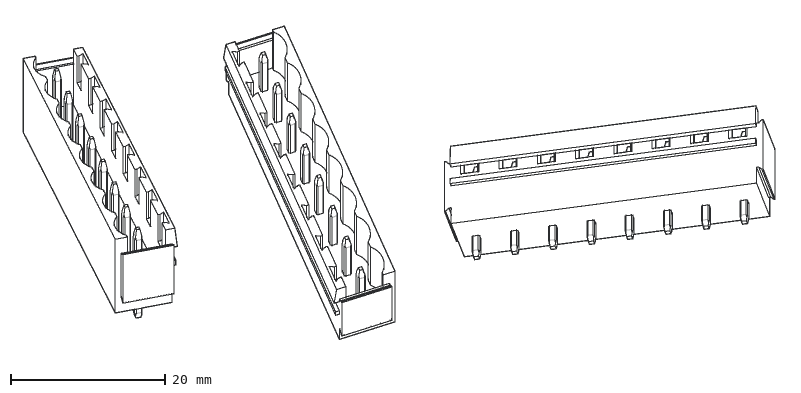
import cadquery as cq

poles = 8
pitch = 5.1
overall_length = 42.4
housing_length = 40.6
housing_depth = 7.7
housing_height = 12.0

front_wall = 1.65
back_wall = 0.9
floor_thickness = 2.95
cavity_depth = housing_depth - front_wall - back_wall
back_wall_inner = housing_depth - back_wall

scallop_width = 4.25
scallop_rise = 0.9

lip_bottom = 8.95
lip_top_reach = 0.4
lip_bottom_reach = 0.7
rib_bottom = 5.98
rib_top = 6.8
rib_reach = 0.5

slot_bottom = 7.67
slot_mouth_width = 1.8
slot_back_width = 2.4
slot_neck = 0.3

end_wall_front = 0.75
end_wall_bottom = 2.08
end_wall_top = 9.95
end_wall_thickness = (overall_length - housing_length) / 2
dovetail_inset = 0.42
dovetail_rim = 0.15
dovetail_land = 0.3

pin_width = 1.0
pin_corner_chamfer = 0.15
pin_y = 3.8
pin_bottom = -3.2
pin_top = 11.1
pin_tail_taper = 0.9
pin_tail_tip_width = 0.68
pin_head_taper = 1.53
pin_head_tip_width = 0.45

pole_positions = [(i - (poles - 1) / 2) * pitch for i in range(poles)]


def box(length, depth, height, y_front, z_bottom):
    """Box centred on X = 0 with its front face and bottom at the given Y and Z."""
    return cq.Workplane("XY").box(length, depth, height, centered=(True, False, False)).translate(
        (0, y_front, z_bottom)
    )


def make_lip():
    """Lip along the top of the back wall, its outer face leaning outwards towards the bottom."""
    profile = [
        (back_wall_inner, lip_bottom),
        (housing_depth + lip_bottom_reach, lip_bottom),
        (housing_depth + lip_top_reach, housing_height),
        (back_wall_inner, housing_height),
    ]
    return cq.Workplane("YZ").polyline(profile).close().extrude(housing_length / 2, both=True)


def make_coding_slot(x):
    """Slot open to the cavity and the top; it flares from a narrow mouth to the outer back face."""
    mouth = slot_mouth_width / 2
    back = slot_back_width / 2
    neck_end = back_wall_inner + slot_neck
    outline = [
        (x - mouth, back_wall_inner),
        (x + mouth, back_wall_inner),
        (x + mouth, neck_end),
        (x + back, housing_depth),
        (x - back, housing_depth),
        (x - mouth, neck_end),
    ]
    return (
        cq.Workplane("XY", origin=(0, 0, slot_bottom))
        .polyline(outline)
        .close()
        .extrude(housing_height - slot_bottom)
    )


def make_scallop(x):
    """Shallow round hollow in the inner face of the front wall."""
    half = scallop_width / 2
    return (
        cq.Workplane("XY", origin=(0, 0, floor_thickness))
        .moveTo(x - half, front_wall)
        .threePointArc((x, front_wall - scallop_rise), (x + half, front_wall))
        .close()
        .extrude(housing_height - floor_thickness)
    )


def make_end_wall(side):
    """Wall closing one end of the cavity; its outer rim stands proud at the top and bottom."""
    inner = side * housing_length / 2
    land = inner + side * dovetail_land
    rim = inner + side * (end_wall_thickness - dovetail_rim)
    outer = inner + side * end_wall_thickness
    profile = [
        (inner, end_wall_bottom + dovetail_inset),
        (land, end_wall_bottom + dovetail_inset),
        (rim, end_wall_bottom),
        (outer, end_wall_bottom),
        (outer, end_wall_top),
        (rim, end_wall_top),
        (land, end_wall_top - dovetail_inset),
        (inner, end_wall_top - dovetail_inset),
    ]
    return (
        cq.Workplane("XZ", origin=(0, housing_depth, 0))
        .polyline(profile)
        .close()
        .extrude(housing_depth - end_wall_front)
    )


def make_tapered_tip(z_base, z_tip, tip_width):
    """Square taper from the full pin width down to the tip width."""
    return (
        cq.Workplane("XY", origin=(0, 0, z_base))
        .rect(pin_width, pin_width)
        .workplane(offset=z_tip - z_base)
        .rect(tip_width, tip_width)
        .loft()
    )


def make_pin(x):
    """Square pin with chamfered edges, tapered at both ends."""
    tail_end = pin_bottom + pin_tail_taper
    head_start = pin_top - pin_head_taper
    shaft = box(pin_width, pin_width, head_start - tail_end, -pin_width / 2, tail_end)
    shape = shaft.union(make_tapered_tip(tail_end, pin_bottom, pin_tail_tip_width))
    shape = shape.union(make_tapered_tip(head_start, pin_top, pin_head_tip_width))
    octagon = box(pin_width, pin_width, pin_top - pin_bottom, -pin_width / 2, pin_bottom)
    octagon = octagon.edges("|Z").chamfer(pin_corner_chamfer)
    return shape.intersect(octagon).translate((x, pin_y, 0))


def make_housing(pins):
    """Open-topped housing with one fitted hole in its floor for each pin."""
    body = box(housing_length, housing_depth, housing_height, 0, 0)
    body = body.union(make_lip())
    body = body.union(box(housing_length, rib_reach, rib_top - rib_bottom, housing_depth, rib_bottom))
    cavity_height = housing_height - floor_thickness
    body = body.cut(box(housing_length, cavity_depth, cavity_height, front_wall, floor_thickness))
    for x in pole_positions:
        body = body.cut(make_scallop(x))
        body = body.cut(make_coding_slot(x))
    for side in (-1, 1):
        body = body.union(make_end_wall(side))
    for pin in pins:
        body = body.cut(pin)
    return body


pins = [make_pin(x) for x in pole_positions]
housing = make_housing(pins)

result = cq.Compound.makeCompound([housing.val(), *[pin.val() for pin in pins]])